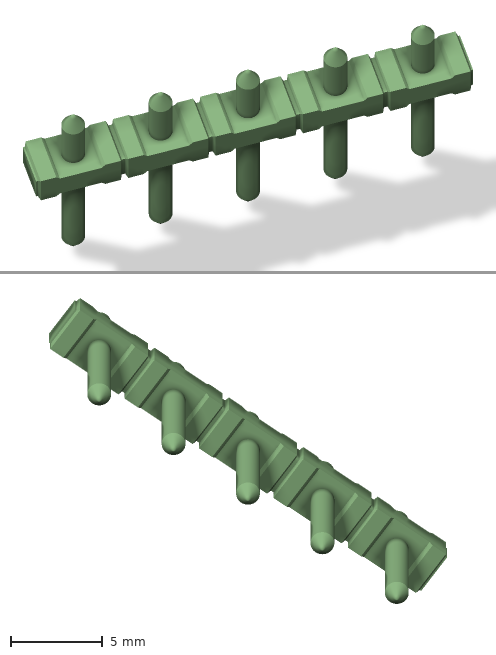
import cadquery as cq

pin_count = 5
pitch = 5.0

body_width = 2.8
body_height = 1.8
body_center_z = 1.85
neck_half_length = 0.1
bevel_length = 0.112
body_half_length = pitch / 2 - neck_half_length - bevel_length
inset = 0.2
waist_half_length = 1.2

pin_length = 12.5
pin_diameter = 1.3
tip_length = 1.0


def end_taper(outward):
    """Bevel from the full section at one module end down to the neck section."""
    return (
        cq.Workplane("XZ", origin=(0, outward * body_half_length, body_center_z))
        .rect(body_width, body_height)
        .workplane(offset=-outward * bevel_length)
        .rect(body_width - 2 * inset, body_height - 2 * inset)
        .loft(ruled=True)
    )


def make_module():
    """Full-width block waisted above and below the middle, with a bevel at each end."""
    top = body_height / 2
    waist_top = top - inset
    pad_start = waist_half_length + inset
    upper_outline = [
        (-body_half_length, top),
        (-pad_start, top),
        (-waist_half_length, waist_top),
        (waist_half_length, waist_top),
        (pad_start, top),
        (body_half_length, top),
    ]
    lower_outline = [(y, -z) for y, z in reversed(upper_outline)]
    block = (
        cq.Workplane("YZ", origin=(0, 0, body_center_z))
        .polyline(upper_outline + lower_outline)
        .close()
        .extrude(body_width / 2, both=True)
    )
    return block.union(end_taper(1)).union(end_taper(-1))


def make_pin():
    """Round pin with a cone at both ends."""
    radius = pin_diameter / 2
    tip_z = pin_length / 2
    shoulder_z = tip_z - tip_length
    return (
        cq.Workplane("XZ")
        .polyline([(0, -tip_z), (radius, -shoulder_z), (radius, shoulder_z), (0, tip_z)])
        .close()
        .revolve(360, (0, 0), (0, 1))
    )


result = cq.Workplane("XY", origin=(0, 0, body_center_z)).box(
    body_width - 2 * inset, pin_count * pitch, body_height - 2 * inset
)
for index in range(pin_count):
    y = (index - (pin_count - 1) / 2) * pitch
    result = result.union(make_module().translate((0, y, 0)))
    result = result.union(make_pin().translate((0, y, 0)))